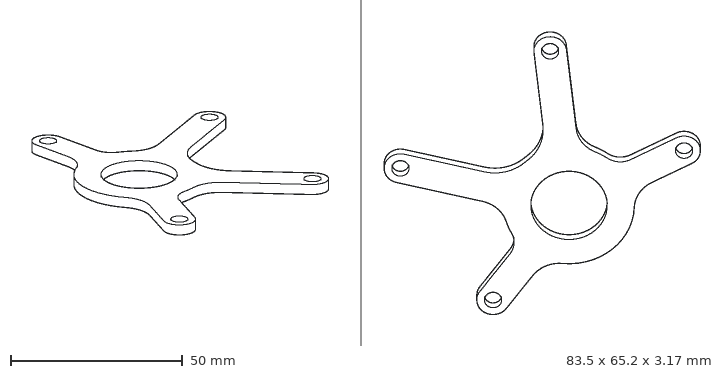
import cadquery as cq
import math

thickness = 3.175
hub_radius = 19.05
bore_diameter = 22.225
arm_width = 9.525
screw_hole_diameter = 5.0

upper_hole = (28.98, 41.43)
lower_hole = (36.97, -8.64)

valley_radius = 12.7
waist_radius = 9.525
shoulder_radius = 6.35
underarm_radius = 9.525

corner_blends = [
    (upper_hole, 1, valley_radius),
    (upper_hole, -1, waist_radius),
    (lower_hole, 1, shoulder_radius),
    (lower_hole, -1, underarm_radius),
]

hole_centres = [(mirror * x, y) for x, y in (upper_hole, lower_hole) for mirror in (1, -1)]


def arm(hole):
    """Round-ended arm running radially from the hub axis to a screw hole."""
    x, y = hole
    reach = math.hypot(x, y)
    bar = cq.Workplane("XY").center(reach / 2, 0).rect(reach, arm_width).extrude(thickness)
    tip = cq.Workplane("XY").center(reach, 0).circle(arm_width / 2).extrude(thickness)
    direction = math.degrees(math.atan2(y, x))
    return bar.union(tip).rotate((0, 0, 0), (0, 0, 1), direction)


def hub_corner(hole, side):
    """Point where one side of an arm leaves the hub circle."""
    half_angle = math.asin(arm_width / 2 / hub_radius)
    angle = math.atan2(hole[1], hole[0]) + side * half_angle
    return hub_radius * math.cos(angle), hub_radius * math.sin(angle)


def blend_corner(plate, x, y, radius):
    """Fillet the upright edge standing at (x, y)."""
    at_corner = cq.selectors.NearestToPointSelector((x, y, thickness / 2))
    return plate.edges("|Z").edges(at_corner).fillet(radius)


def spider_plate():
    """Round hub with four arms, blended where each arm meets the hub."""
    plate = cq.Workplane("XY").circle(hub_radius).extrude(thickness)
    for hole in hole_centres:
        plate = plate.union(arm(hole))
    for hole, side, radius in corner_blends:
        x, y = hub_corner(hole, side)
        for mirror in (1, -1):
            plate = blend_corner(plate, mirror * x, y, radius)
    return plate


def through_holes():
    """Cutters for the central bore and the screw holes at the arm tips."""
    bore = cq.Workplane("XY").circle(bore_diameter / 2).extrude(thickness)
    screw_holes = cq.Workplane("XY").pushPoints(hole_centres).circle(screw_hole_diameter / 2)
    return bore.union(screw_holes.extrude(thickness))


result = spider_plate().cut(through_holes())